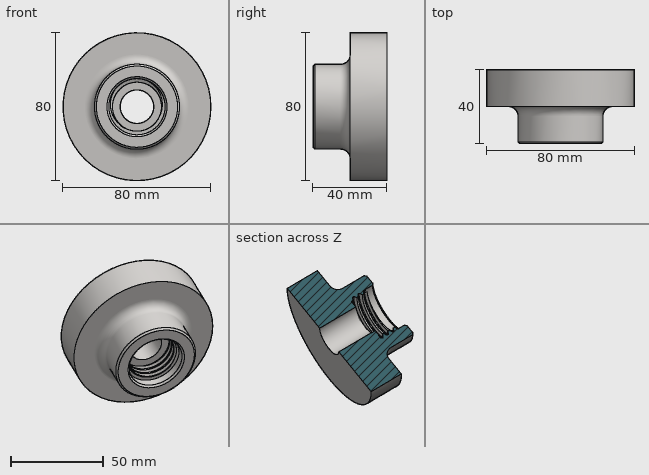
import cadquery as cq

flange_diameter = 80
flange_thickness = 20
hub_diameter = 46.0
hub_length = 20
hub_front = -hub_length
hub_chamfer = 1.0
root_fillet = 5.0

through_diameter = 18.0
recess_diameter = 30.4
recess_depth = 5.6
mouth_chamfer = 1.0

thread_minor_diameter = 26.5
thread_major_diameter = 30.2
thread_pitch = 3.5
thread_end_depth = 16
thread_crest_ratio = 0.3
thread_root_ratio = 0.2
thread_start_angle = -105
cutter_overlap = 0.2


def disc(diameter, front, length):
    """Cylinder on the Y axis, running from front toward +Y."""
    plane = cq.Workplane("XZ", origin=(0, front, 0))
    return plane.circle(diameter / 2).extrude(-length)


def thread_groove():
    """Helical groove cutter, made along Z and turned so that its depth runs along +Y."""
    overrun = thread_pitch
    helix_length = thread_end_depth - recess_depth + overrun
    minor_radius = thread_minor_diameter / 2
    major_radius = thread_major_diameter / 2
    half_root = thread_pitch * thread_root_ratio / 2
    half_mouth = thread_pitch * (1 - thread_crest_ratio) / 2
    flank_slope = (half_mouth - half_root) / (major_radius - minor_radius)
    half_inner = half_mouth + cutter_overlap * flank_slope
    inner_radius = minor_radius - cutter_overlap
    helix = cq.Wire.makeHelix(thread_pitch, helix_length, minor_radius)
    profile = cq.Workplane("XZ").polyline([
        (inner_radius, -half_inner),
        (major_radius, -half_root),
        (major_radius, half_root),
        (inner_radius, half_inner),
    ]).close()
    groove = profile.sweep(cq.Workplane(helix), isFrenet=True)
    groove = groove.rotate((0, 0, 0), (0, 0, 1), thread_start_angle)
    groove = groove.rotate((0, 0, 0), (1, 0, 0), -90)
    recess_floor = hub_front + recess_depth
    groove = groove.translate((0, recess_floor - overrun, 0))
    threaded_length = thread_end_depth - recess_depth
    return groove.intersect(disc(recess_diameter, recess_floor, threaded_length))


body = disc(flange_diameter, 0, flange_thickness)
body = body.union(disc(hub_diameter, hub_front, hub_length))
smallest_circle = cq.selectors.RadiusNthSelector(0)
body = body.faces("<Y[1]").edges(smallest_circle).fillet(root_fillet)
body = body.faces("<Y").edges().chamfer(hub_chamfer)

body = body.cut(disc(through_diameter, hub_front, hub_length + flange_thickness))
body = body.cut(disc(thread_minor_diameter, hub_front, thread_end_depth))
body = body.cut(disc(recess_diameter, hub_front, recess_depth))
body = body.faces("<Y").edges(smallest_circle).chamfer(mouth_chamfer)

result = body.cut(thread_groove())